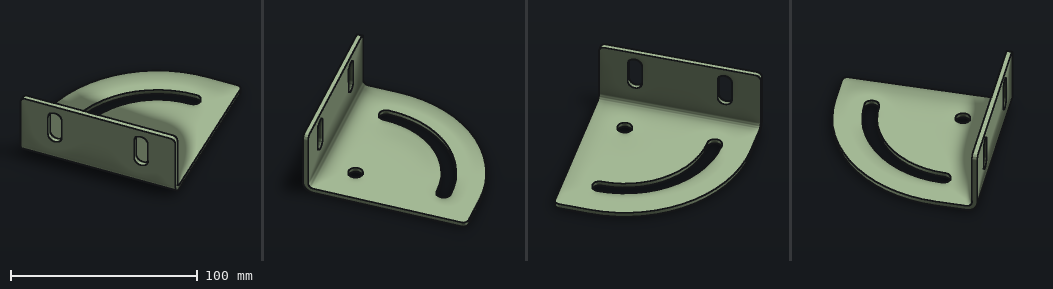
import cadquery as cq
import math

thickness = 3.0
wall_height = 39.0
inner_bend_radius = 3.0
outer_bend_radius = inner_bend_radius + thickness
corner_radius = 3.0

plate_radius = 70.0
pivot_to_right = 20.0
pivot_to_front = 23.0
left = -plate_radius
right = pivot_to_right
front = -pivot_to_front
width = right - left

opening_width = 8.0
arc_slot_radius = 50.0
wall_slot_length = 20.0
wall_slot_spacing = 50.0
wall_slot_inset = 20.0
wall_slot_height = 24.5

diagonal = math.sqrt(0.5)


def make_angle():
    """L-shaped sheet profile, bent along X, wide enough for the whole part."""
    return (
        cq.Workplane("YZ", origin=(left, 0, 0))
        .moveTo(plate_radius, 0)
        .lineTo(front + outer_bend_radius, 0)
        .radiusArc((front, outer_bend_radius), outer_bend_radius)
        .lineTo(front, wall_height)
        .lineTo(front + thickness, wall_height)
        .lineTo(front + thickness, outer_bend_radius)
        .radiusArc((front + outer_bend_radius, thickness), -inner_bend_radius)
        .lineTo(plate_radius, thickness)
        .close()
        .extrude(width)
    )


def make_plan_outline():
    """Prism with the quarter-round plan shape and a rounded back right corner."""
    return (
        cq.Workplane("XY")
        .moveTo(left, front)
        .lineTo(left, 0)
        .threePointArc((-plate_radius * diagonal, plate_radius * diagonal), (0, plate_radius))
        .lineTo(right, plate_radius)
        .lineTo(right, front)
        .close()
        .extrude(wall_height)
        .edges("|Z and >X and >Y")
        .fillet(corner_radius)
    )


def make_arc_slot():
    """Quarter-circle slot about the pivot with round ends."""
    half_width = opening_width / 2
    outer = arc_slot_radius + half_width
    inner = arc_slot_radius - half_width
    return (
        cq.Workplane("XY")
        .moveTo(-outer, 0)
        .threePointArc((-outer * diagonal, outer * diagonal), (0, outer))
        .threePointArc((half_width, arc_slot_radius), (0, inner))
        .threePointArc((-inner * diagonal, inner * diagonal), (-inner, 0))
        .threePointArc((-arc_slot_radius, -half_width), (-outer, 0))
        .close()
        .extrude(thickness)
    )


def make_pivot_hole():
    return cq.Workplane("XY").circle(opening_width / 2).extrude(thickness)


def make_wall_slots():
    """Pair of upright slots through the wall."""
    first_x = left + wall_slot_inset
    centres = [(first_x + i * wall_slot_spacing, wall_slot_height) for i in range(2)]
    return (
        cq.Workplane("XZ", origin=(0, front, 0))
        .pushPoints(centres)
        .slot2D(wall_slot_length, opening_width, 90)
        .extrude(-thickness)
    )


bracket = make_angle().intersect(make_plan_outline())
bracket = bracket.faces(">Z").edges("|Y").fillet(corner_radius)
result = bracket.cut(make_arc_slot()).cut(make_pivot_hole()).cut(make_wall_slots())